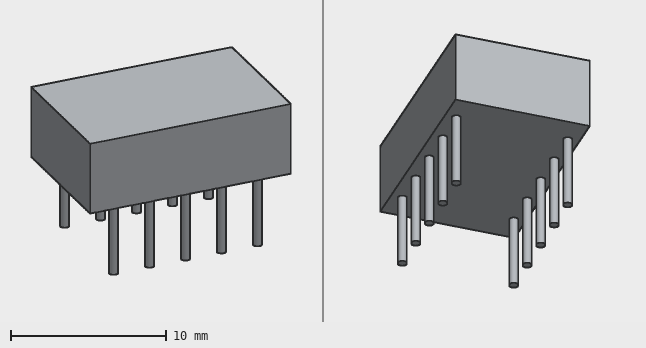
import cadquery as cq

body_width = 9.2
body_length = 14.2
body_height = 5.0
total_height = 10.0

pin_diameter = 0.6
pin_length = total_height - body_height
pins_per_row = 5
row_count = 2
pin_pitch = 2.54
row_spacing = 7.63


def make_body():
    return cq.Workplane("XY").box(
        body_width, body_length, body_height, centered=(True, True, False)
    )


def make_pins():
    """Pins hang from the underside of the body, centred on it."""
    return (
        cq.Workplane("XY")
        .rarray(row_spacing, pin_pitch, row_count, pins_per_row)
        .circle(pin_diameter / 2)
        .extrude(-pin_length)
    )


result = make_body().union(make_pins())